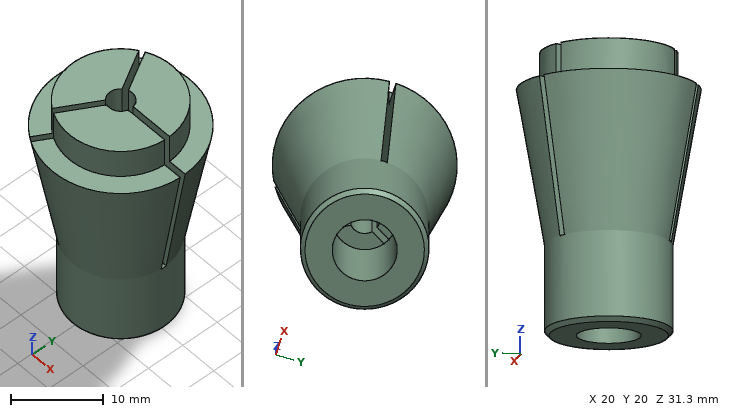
import cadquery as cq

total_height = 31.3
shank_height = 10.02
nose_height = 4.0
shank_diameter = 13.9
cone_diameter = 20.0
nose_diameter = 15.0
chamfer_size = 0.5
grip_bore_diameter = 3.3
relief_bore_diameter = 7.0
slot_width = 0.72
slot_count = 3

shank_radius = shank_diameter / 2
cone_radius = cone_diameter / 2
nose_radius = nose_diameter / 2
shoulder_z = total_height - nose_height


def make_body():
    """Revolve the chamfered shank, flaring cone and cylindrical nose about Z."""
    return (
        cq.Workplane("XZ")
        .moveTo(0, 0)
        .lineTo(shank_radius - chamfer_size, 0)
        .lineTo(shank_radius, chamfer_size)
        .lineTo(shank_radius, shank_height)
        .lineTo(cone_radius, shoulder_z)
        .lineTo(nose_radius, shoulder_z)
        .lineTo(nose_radius, total_height)
        .lineTo(0, total_height)
        .close()
        .revolve(360, (0, 0, 0), (0, 1, 0))
    )


def make_bores():
    """Narrow grip bore along the full height, widened inside the shank."""
    grip_bore = cq.Workplane("XY").circle(grip_bore_diameter / 2).extrude(total_height)
    relief_bore = cq.Workplane("XY").circle(relief_bore_diameter / 2).extrude(shank_height)
    return grip_bore.union(relief_bore)


def make_slot(angle):
    """Radial slot from the axis outward, with its floor at the top of the shank."""
    return (
        cq.Workplane("XY")
        .box(cone_diameter, slot_width, total_height - shank_height, centered=(False, True, False))
        .translate((0, 0, shank_height))
        .rotate((0, 0, 0), (0, 0, 1), angle)
    )


result = make_body().cut(make_bores())
for slot_index in range(slot_count):
    result = result.cut(make_slot(slot_index * 360 / slot_count))